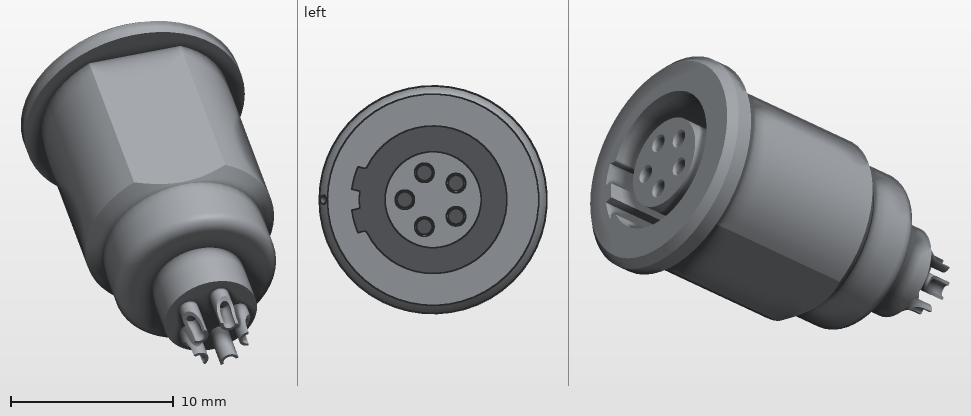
import cadquery as cq
import math

OVERALL_LENGTH = 22.0

FLANGE_RADIUS = 7.0
FLANGE_THICKNESS = 1.5
FLANGE_CHAMFER = 0.5

DIMPLE_RADIUS = 0.26
DIMPLE_DEPTH = 0.55

BODY_RADIUS = 6.0
BODY_END = 13.0
FLAT_HALF_HEIGHT = 5.25
COLLAR_RADIUS = 5.15
COLLAR_END = 16.5
COLLAR_FILLET = 0.8

CAVITY_RADIUS = 4.53
CAVITY_DEPTH = 9.9
KEYWAY_RADIUS = 5.04
KEYWAY_WIDTH = 1.43
KEYWAY_ANGLE = 15.6
KEYWAY_FILLET = 0.2

INSERT_RADIUS = 2.95
INSERT_RECESS = 0.45
INSERT_END = 19.5

CONTACT_COUNT = 5
CONTACT_CIRCLE_RADIUS = 1.74
CONTACT_RADIUS = 0.6
SOCKET_RADIUS = 0.48
SOCKET_DEPTH = 4.4
SOCKET_CHAMFER = 0.1
CUP_BORE_RADIUS = 0.4
CUP_BORE_START = 20.22
SCOOP_START = 20.2
SCOOP_RADIUS = 1.75


def x_cylinder(radius, start, end, y=0.0):
    """Cylinder along X between two stations, on an axis shifted in Y."""
    return cq.Workplane("YZ", origin=(start, y, 0)).circle(radius).extrude(end - start)


def about_x(shape, angle):
    return shape.rotate((0, 0, 0), (1, 0, 0), angle)


def make_flange():
    flange = x_cylinder(FLANGE_RADIUS, 0, FLANGE_THICKNESS)
    flange = flange.faces("<X").chamfer(FLANGE_CHAMFER)
    lead_in = DIMPLE_DEPTH / math.sqrt(2)
    start_x = FLANGE_CHAMFER / 2 - lead_in
    start_y = FLANGE_RADIUS - FLANGE_CHAMFER / 2 + lead_in
    dimple = cq.Solid.makeCylinder(
        DIMPLE_RADIUS,
        2 * DIMPLE_DEPTH,
        cq.Vector(start_x, start_y, 0),
        cq.Vector(1, -1, 0),
    )
    return flange.cut(cq.Workplane(dimple))


def make_body():
    body = x_cylinder(BODY_RADIUS, 0, BODY_END)
    body = body.faces(">X").chamfer(BODY_RADIUS - COLLAR_RADIUS)
    flats = cq.Workplane("XY").box(
        2 * BODY_END, 2 * BODY_RADIUS, 2 * FLAT_HALF_HEIGHT)
    return body.intersect(flats)


def make_collar():
    collar = x_cylinder(COLLAR_RADIUS, 0, COLLAR_END)
    return collar.faces(">X").edges().fillet(COLLAR_FILLET)


def make_cavity():
    """Round pocket with two parallel-sided keyways astride +Y."""
    cavity = x_cylinder(CAVITY_RADIUS, 0, CAVITY_DEPTH)
    keyway_limit = x_cylinder(KEYWAY_RADIUS, 0, CAVITY_DEPTH)
    for angle in (-KEYWAY_ANGLE, KEYWAY_ANGLE):
        slot = cq.Workplane("XY").box(
            CAVITY_DEPTH, FLANGE_RADIUS, KEYWAY_WIDTH, centered=(False, False, True))
        cavity = cavity.union(about_x(slot, angle).intersect(keyway_limit))

    half_width = KEYWAY_WIDTH / 2
    edge_angle = math.radians(KEYWAY_ANGLE) + math.asin(half_width / CAVITY_RADIUS)
    edge_y = CAVITY_RADIUS * math.cos(edge_angle)
    edge_z = CAVITY_RADIUS * math.sin(edge_angle)
    for z in (-edge_z, edge_z):
        nearest = cq.selectors.NearestToPointSelector((CAVITY_DEPTH / 2, edge_y, z))
        cavity = cavity.edges("|X").edges(nearest).fillet(KEYWAY_FILLET)
    return cavity


def make_socket():
    bore = x_cylinder(
        SOCKET_RADIUS, INSERT_RECESS, INSERT_RECESS + SOCKET_DEPTH, CONTACT_CIRCLE_RADIUS)
    countersink = cq.Solid.makeCone(
        SOCKET_RADIUS + SOCKET_CHAMFER,
        SOCKET_RADIUS,
        SOCKET_CHAMFER,
        cq.Vector(INSERT_RECESS, CONTACT_CIRCLE_RADIUS, 0),
        cq.Vector(1, 0, 0),
    )
    return bore.union(cq.Workplane(countersink))


def make_solder_cup():
    """Bored pin whose outward half is scooped away by an arc ending level with its axis."""
    outside = CONTACT_CIRCLE_RADIUS + CONTACT_RADIUS
    floor = CONTACT_CIRCLE_RADIUS
    drop = SCOOP_RADIUS - CONTACT_RADIUS
    arc_end = SCOOP_START + math.sqrt(SCOOP_RADIUS**2 - drop**2)
    mid_angle = math.acos(drop / SCOOP_RADIUS) / 2
    arc_mid = (arc_end - SCOOP_RADIUS * math.sin(mid_angle),
               floor + SCOOP_RADIUS * (1 - math.cos(mid_angle)))
    scoop = (
        cq.Workplane("XY")
        .moveTo(SCOOP_START, outside)
        .threePointArc(arc_mid, (arc_end, floor))
        .lineTo(OVERALL_LENGTH, floor)
        .lineTo(OVERALL_LENGTH, outside)
        .close()
        .extrude(CONTACT_RADIUS, both=True)
    )
    pin = x_cylinder(
        CONTACT_RADIUS, INSERT_END - CONTACT_RADIUS, OVERALL_LENGTH, CONTACT_CIRCLE_RADIUS)
    bore = x_cylinder(
        CUP_BORE_RADIUS, CUP_BORE_START, OVERALL_LENGTH, CONTACT_CIRCLE_RADIUS)
    return pin.cut(bore).cut(scoop)


shell = make_flange().union(make_body()).union(make_collar()).cut(make_cavity())
result = shell.union(x_cylinder(INSERT_RADIUS, INSERT_RECESS, INSERT_END))

for index in range(CONTACT_COUNT):
    contact_angle = index * 360 / CONTACT_COUNT
    result = result.cut(about_x(make_socket(), contact_angle))
    result = result.union(about_x(make_solder_cup(), contact_angle))